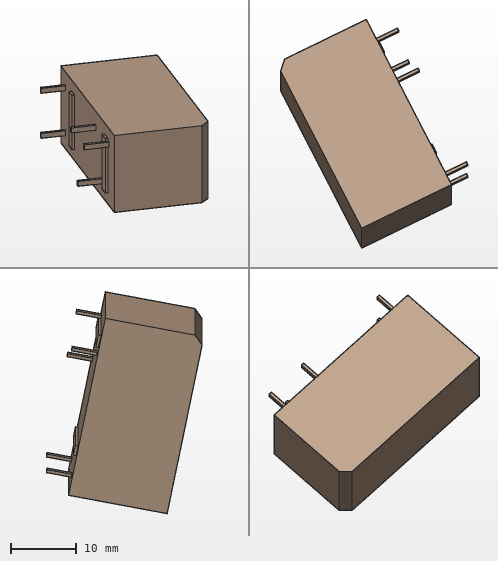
import cadquery as cq

body_length = 29.0
body_depth = 15.3
body_height = 12.7
corner_chamfer = 1.4

pin_width = 0.5
pin_thickness = 0.8
pin_length = 3.9
pin_row_spacing = 7.42
coil_pin_x = 2.45
contact_pin_x = 18.88
contact_pin_pitch = 3.5

pad_height = 8.95
pad_projection = 0.4
left_pad_start = 5.85
left_pad_width = 1.6
right_pad_start = 23.6
right_pad_width = 1.95


def terminal_face_block(x_center, z_center, width, projection, height):
    """Make a rectangular block projecting from the terminal face."""
    return (
        cq.Workplane("XY")
        .box(width, projection, height)
        .translate((x_center, -projection / 2, z_center))
    )


result = (
    cq.Workplane("XY")
    .box(body_length, body_depth, body_height)
    .translate((body_length / 2, body_depth / 2, 0))
    .edges("|Z and >X and >Y")
    .chamfer(corner_chamfer)
)

upper_row_z = pin_row_spacing / 2
lower_row_z = -upper_row_z
pin_positions = [
    (coil_pin_x, upper_row_z),
    (coil_pin_x, lower_row_z),
    (contact_pin_x, upper_row_z),
    (contact_pin_x + contact_pin_pitch, lower_row_z),
    (contact_pin_x + 2 * contact_pin_pitch, upper_row_z),
]
for pin_x, pin_z in pin_positions:
    result = result.union(
        terminal_face_block(pin_x, pin_z, pin_width, pin_length, pin_thickness)
    )

for pad_start, pad_width in [
    (left_pad_start, left_pad_width),
    (right_pad_start, right_pad_width),
]:
    pad_x = pad_start + pad_width / 2
    result = result.union(
        terminal_face_block(pad_x, 0, pad_width, pad_projection, pad_height)
    )